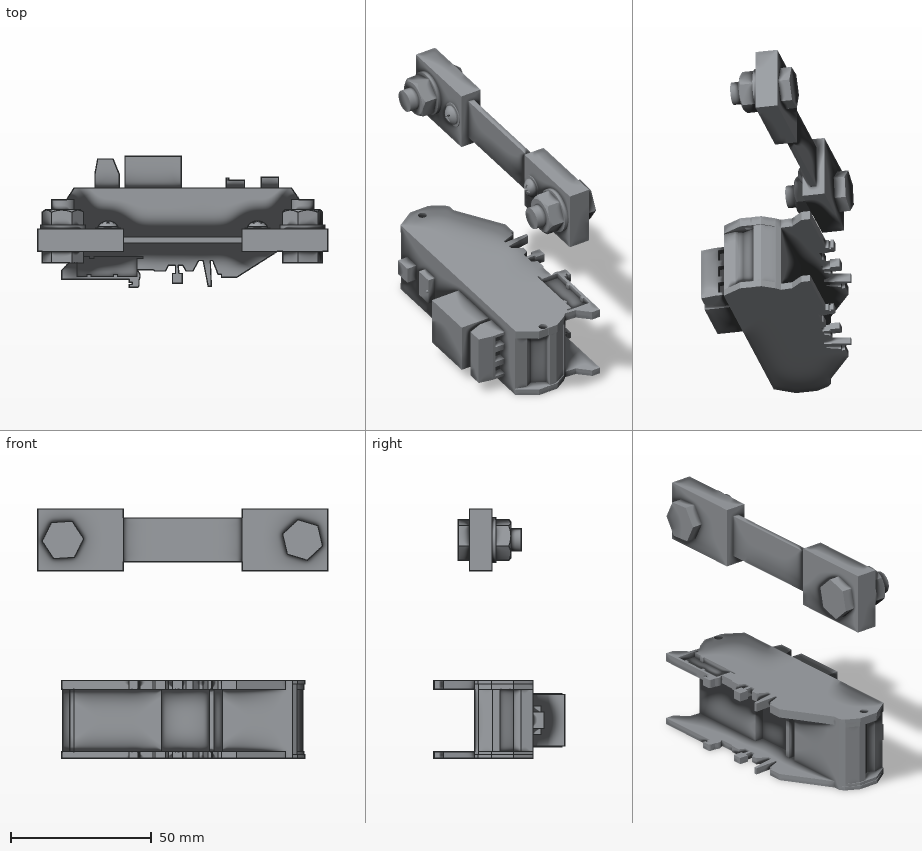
import cadquery as cq
import math


SHUNT_LENGTH = 103.0
END_BLOCK_LENGTH = 30.4
END_BLOCK_THICKNESS = 8.0
END_BLOCK_HEIGHT = 22.0
STRIP_THICKNESS = 2.1
STRIP_HEIGHT = 15.6
BACK_FACE = END_BLOCK_THICKNESS / 2

BOLT_X = 42.5
BOLT_DIAMETER = 8.0
BOLT_TIP = 14.4
HEX_ACROSS_FLATS = 12.8
HEX_ACROSS_CORNERS = HEX_ACROSS_FLATS / math.cos(math.radians(30))
HEAD_HEIGHT = 4.0
WASHER_DIAMETER = 16.0
WASHER_THICKNESS = 1.4
NUT_HEIGHT = 5.4
NUT_CHAMFER_DROP = 0.85
NUT_TOP_DIAMETER = 12.4
LEFT_BOLT_TURN = 3.5
RIGHT_BOLT_TURN = 43.0

SCREW_X = 26.5
SCREW_WASHER_DIAMETER = 8.9
SCREW_WASHER_THICKNESS = 0.35
SCREW_HEAD_DIAMETER = 7.0
SCREW_RIM_HEIGHT = 0.9
SCREW_HEAD_HEIGHT = 2.85
CROSS_WIDTH = 0.7
CROSS_LENGTH = 4.0
CROSS_DEPTH = 1.5

OVERALL_HEIGHT = 88.48
HOUSING_BOTTOM = END_BLOCK_HEIGHT / 2 - OVERALL_HEIGHT
HOUSING_HEIGHT = 27.7
HOUSING_TOP = HOUSING_BOTTOM + HOUSING_HEIGHT
TOP_PLATE_THICKNESS = 3.2
BOTTOM_PLATE_THICKNESS = 2.4
SKIN_THICKNESS = 1.35
CORE_TOP = HOUSING_TOP - TOP_PLATE_THICKNESS
CORE_BOTTOM = HOUSING_BOTTOM + BOTTOM_PLATE_THICKNESS

TERMINAL_FACE = 18.6
RAIL_FACE = -2.2
SIDE_TOP = 11.6
SIDE_BOTTOM = 3.9
SHOULDER_X = 38.5
LEFT_CORNER = (-40.1, -0.6)
LEFT_FOOT = (-38.5, RAIL_FACE)
RIGHT_CORNER = (40.7, -0.9)
RIGHT_FOOT_X = 39.0
LEFT_SIDE = -42.95
RIGHT_SIDE = 43.3
RIGHT_INNER_STEP = 0.3
SIDE_NOTCH_Y = 7.7
SIDE_NOTCH = 0.35


def box(x_range, y_range, z_range):
    size = [end - start for start, end in (x_range, y_range, z_range)]
    return cq.Workplane("XY").box(*size, centered=False).translate((x_range[0], y_range[0], z_range[0]))


def prism(points, z_start, z_end):
    """Straight extrusion along Z of an outline given in X and Y."""
    return cq.Workplane("XY").workplane(offset=z_start).polyline(points).close().extrude(z_end - z_start)


def section_along_y(y_start):
    """Sketch plane across Y whose extrusions grow towards +Y."""
    return cq.Workplane(cq.Plane((0, y_start, 0), xDir=(1, 0, 0), normal=(0, 1, 0)))


def clamping_bolt(x, turn):
    """Hex head, shank, washer and chamfered nut clamped on one end block."""
    washer_top = BACK_FACE + WASHER_THICKNESS
    head = section_along_y(-BACK_FACE - HEAD_HEIGHT).polygon(6, HEX_ACROSS_CORNERS).extrude(HEAD_HEIGHT)
    nut = section_along_y(washer_top).polygon(6, HEX_ACROSS_CORNERS).extrude(NUT_HEIGHT)
    chamfer_width = (HEX_ACROSS_CORNERS - NUT_TOP_DIAMETER) / 2
    nut_envelope = (
        section_along_y(washer_top)
        .circle(HEX_ACROSS_CORNERS / 2)
        .extrude(NUT_HEIGHT)
        .faces(">Y")
        .chamfer(NUT_CHAMFER_DROP, chamfer_width)
    )
    washer = section_along_y(BACK_FACE).circle(WASHER_DIAMETER / 2).extrude(WASHER_THICKNESS)
    shank = section_along_y(BACK_FACE).circle(BOLT_DIAMETER / 2).extrude(BOLT_TIP - BACK_FACE)
    bolt = head.union(washer).union(nut.intersect(nut_envelope)).union(shank)
    return bolt.rotate((0, 0, 0), (0, 1, 0), -turn).translate((x, 0, 0))


def sense_screw(x, turn):
    """Domed cross-recess screw on a thin washer."""
    washer = section_along_y(BACK_FACE).circle(SCREW_WASHER_DIAMETER / 2).extrude(SCREW_WASHER_THICKNESS)
    radius = SCREW_HEAD_DIAMETER / 2
    dome_rise = SCREW_HEAD_HEIGHT - SCREW_RIM_HEIGHT
    dome_radius = (radius**2 + dome_rise**2) / (2 * dome_rise)
    half_angle = math.asin(radius / dome_radius) / 2
    rim_y = BACK_FACE + SCREW_RIM_HEIGHT
    top_y = BACK_FACE + SCREW_HEAD_HEIGHT
    dome_middle = (
        dome_radius * math.sin(half_angle),
        top_y - dome_radius * (1 - math.cos(half_angle)),
    )
    head = (
        cq.Workplane("XY")
        .moveTo(0, BACK_FACE)
        .lineTo(radius, BACK_FACE)
        .lineTo(radius, rim_y)
        .threePointArc(dome_middle, (0, top_y))
        .close()
        .revolve(360, (0, 0, 0), (0, 1, 0))
    )
    recess_floor = section_along_y(top_y - CROSS_DEPTH)
    for length, width in ((CROSS_LENGTH, CROSS_WIDTH), (CROSS_WIDTH, CROSS_LENGTH)):
        blade = recess_floor.rect(length, width).extrude(CROSS_DEPTH)
        head = head.cut(blade.rotate((0, 0, 0), (0, 1, 0), turn))
    return washer.union(head).translate((x, 0, 0))


def make_shunt():
    shunt = cq.Workplane("XY").box(SHUNT_LENGTH - END_BLOCK_LENGTH, STRIP_THICKNESS, STRIP_HEIGHT)
    block_x = (SHUNT_LENGTH - END_BLOCK_LENGTH) / 2
    for side, bolt_turn, screw_turn in ((-1, LEFT_BOLT_TURN, 0), (1, RIGHT_BOLT_TURN, 45)):
        block = cq.Workplane("XY").box(END_BLOCK_LENGTH, END_BLOCK_THICKNESS, END_BLOCK_HEIGHT)
        shunt = shunt.union(block.translate((side * block_x, 0, 0)))
        shunt = shunt.union(clamping_bolt(side * BOLT_X, bolt_turn))
        shunt = shunt.union(sense_screw(side * SCREW_X, screw_turn))
    return shunt


LATCH_BOTTOM = -13.9
LATCH_LEFT = -19.05
RAIL_EDGE = -11.0
RECESS_EDGE = -8.9
TOE_BOTTOM = -13.2

RAIL_EDGE_POINTS = [
    (-38.8, -6.4),
    (LEFT_SIDE, -10.7),
    (LEFT_SIDE, LATCH_BOTTOM),
    (LATCH_LEFT, LATCH_BOTTOM),
    (LATCH_LEFT, -15.0),
    (-17.95, -15.0),
    (-17.95, -15.7),
    (LATCH_LEFT, -15.7),
    (LATCH_LEFT, -16.7),
    (-15.9, -16.7),
    (-15.5, -16.2),
    (-15.5, -14.3),
    (-15.1, -13.0),
    (-15.1, -12.1),
    (-16.1, -10.5),
    (-10.5, -10.5),
    (-9.8, RAIL_EDGE),
    (-6.1, RAIL_EDGE),
    (-5.1, RECESS_EDGE),
    (-2.65, RECESS_EDGE),
    (-2.65, -11.8),
    (-3.7, -11.8),
    (-3.7, -15.35),
    (-0.15, -15.35),
    (-0.15, -11.8),
    (-1.3, -11.8),
    (-1.6, RECESS_EDGE),
    (0.0, RECESS_EDGE),
    (1.2, RAIL_EDGE),
    (3.6, RAIL_EDGE),
    (5.7, -7.2),
    (7.2, -7.2),
    (9.0, -16.4),
    (10.2, -16.4),
    (9.8, -7.2),
    (10.6, -7.2),
    (12.5, -12.1),
    (13.7, -12.1),
    (13.7, TOE_BOTTOM),
    (19.1, TOE_BOTTOM),
    (36.4, RAIL_FACE),
]


def plate(z_start, z_end, right_step):
    """One layer of an end plate; right_step pulls in its right-hand end."""
    right = RIGHT_SIDE - right_step
    outline = [
        (SHOULDER_X, TERMINAL_FACE),
        (-SHOULDER_X, TERMINAL_FACE),
        (LEFT_SIDE, SIDE_TOP),
        (LEFT_SIDE, SIDE_BOTTOM),
        LEFT_CORNER,
        LEFT_FOOT,
        *RAIL_EDGE_POINTS,
        (RIGHT_FOOT_X - right_step / 2, RAIL_FACE),
        (RIGHT_CORNER[0] - right_step / 2, RIGHT_CORNER[1] + right_step / 2),
        (right, SIDE_BOTTOM),
        (right, SIDE_TOP),
    ]
    notch = box(
        (LEFT_SIDE, LEFT_SIDE + SIDE_NOTCH),
        (SIDE_NOTCH_Y - SIDE_NOTCH / 2, SIDE_NOTCH_Y + SIDE_NOTCH / 2),
        (z_start, z_end),
    )
    return prism(outline, z_start, z_end).cut(notch)


CORE_RECESS_FACE = 1.3
CORE_RECESS_LEFT = -7.6
CORE_RECESS_RIGHT = 14.1
RIB_LEFT = 9.4
RIB_RIGHT = 11.1
CORE_SIDE = 42.6
CORE_SIDE_TOP = 6.8
CORE_SIDE_BOTTOM = 4.1


def make_core():
    inner_corner = (RIGHT_CORNER[0] - RIGHT_INNER_STEP / 2, RIGHT_CORNER[1] + RIGHT_INNER_STEP / 2)
    right_end = [
        (RIGHT_FOOT_X - RIGHT_INNER_STEP / 2, RAIL_FACE),
        inner_corner,
        (CORE_SIDE, CORE_SIDE_BOTTOM),
        (CORE_SIDE, CORE_SIDE_TOP),
    ]
    left_end = [
        (-CORE_SIDE, CORE_SIDE_TOP),
        (-CORE_SIDE, CORE_SIDE_BOTTOM),
        (-39.95, -0.35),
        LEFT_CORNER,
        LEFT_FOOT,
    ]
    groove = [(40.2, CORE_SIDE_TOP), (37.7, 11.7), (38.35, 13.1), (39.1, 14.2), (38.0, TERMINAL_FACE)]
    left_groove = [(-x, y) for x, y in reversed(groove)]
    core = prism(right_end + groove + left_groove + left_end, CORE_BOTTOM, CORE_TOP)
    levels = (CORE_BOTTOM, CORE_TOP)
    for x_range in ((CORE_RECESS_LEFT, RIB_LEFT), (RIB_RIGHT, CORE_RECESS_RIGHT)):
        core = core.cut(box(x_range, (RAIL_FACE, CORE_RECESS_FACE), levels))
    return core


POCKET_DEPTH = 2.0
POCKET_LEFT = -37.5
POCKET_RIGHT = -16.2
POCKET_TOP = -5.75
POCKET_BOTTOM = -12.85
STOP_HEIGHT = 0.7
UPPER_STOP = (-33.0, -31.5)
LOWER_STOPS = ((-34.0, -32.6), (-24.6, -23.2))
UNDERCUT_END = -14.1
CORNER_RELIEF_RIGHT = -36.7
CORNER_RELIEF_TOP = -3.9


def latch_pocket():
    """Shallow pocket beside the release arm, with stops left standing along its edges."""
    levels = (HOUSING_TOP - POCKET_DEPTH, HOUSING_TOP)
    upper_band = (POCKET_TOP - STOP_HEIGHT, POCKET_TOP)
    lower_band = (POCKET_BOTTOM, POCKET_BOTTOM + STOP_HEIGHT)
    pocket = box((POCKET_LEFT, POCKET_RIGHT), (POCKET_BOTTOM, POCKET_TOP), levels)
    pocket = pocket.union(box((POCKET_RIGHT, UNDERCUT_END), upper_band, levels))
    pocket = pocket.union(box((POCKET_LEFT, CORNER_RELIEF_RIGHT), (POCKET_TOP, CORNER_RELIEF_TOP), levels))
    pocket = pocket.cut(box(UPPER_STOP, upper_band, levels))
    for x_range in LOWER_STOPS:
        pocket = pocket.cut(box(x_range, lower_band, levels))
    return pocket


TERMINAL_TOP = -54.5
TERMINAL_BOTTOM = -73.4
TERMINAL_LEFT = -31.2
TERMINAL_RIGHT = -22.5
TERMINAL_MIDDLE = (TERMINAL_TOP + TERMINAL_BOTTOM) / 2
WIRE_ENTRY_SPACING = 6.35
WIRE_ENTRY_WIDTH = 4.1
WIRE_ENTRY_HEIGHT = 3.9
WIRE_ENTRY_DEPTH = 3.0


def terminal_block():
    """Wedge-topped terminal with three wire entries in its left face."""
    bend = 23.4
    top = 28.8
    profile = [
        (TERMINAL_LEFT, TERMINAL_FACE),
        (TERMINAL_RIGHT, TERMINAL_FACE),
        (TERMINAL_RIGHT, bend),
        (-24.7, top),
        (-30.2, top),
        (TERMINAL_LEFT, bend),
    ]
    block = prism(profile, TERMINAL_BOTTOM, TERMINAL_TOP)
    for row in (-1, 0, 1):
        z = TERMINAL_MIDDLE + row * WIRE_ENTRY_SPACING
        entry = box(
            (TERMINAL_LEFT, TERMINAL_LEFT + WIRE_ENTRY_DEPTH),
            (TERMINAL_FACE, TERMINAL_FACE + WIRE_ENTRY_HEIGHT),
            (z - WIRE_ENTRY_WIDTH / 2, z + WIRE_ENTRY_WIDTH / 2),
        )
        block = block.cut(entry)
    return block


RELAY_X = (-20.5, -0.5)
RELAY_TOP = 29.83
RELAY_WIDTH = 18.3
TRIMMER_X = (15.4, 21.9)
TRIMMER_TOP = 21.3
TRIMMER_WIDTH = 10.0
ADJUSTER_DIAMETER = 1.0
ADJUSTER_X = TRIMMER_X[0] + ADJUSTER_DIAMETER / 2
ADJUSTER_HEIGHT = 0.8
BUTTON_X = (27.8, 34.0)
BUTTON_TOP = 22.4
BUTTON_WIDTH = 6.0


def terminal_side_box(x_range, top, width):
    """Block on the terminal face, centred on the terminal along Z."""
    z_range = (TERMINAL_MIDDLE - width / 2, TERMINAL_MIDDLE + width / 2)
    return box(x_range, (TERMINAL_FACE, top), z_range)


def trimmer_adjuster():
    pin = section_along_y(TRIMMER_TOP).circle(ADJUSTER_DIAMETER / 2).extrude(ADJUSTER_HEIGHT)
    return pin.translate((ADJUSTER_X, 0, TERMINAL_MIDDLE))


def terminal_side_parts():
    """Relay box, trimmer with its adjuster, and button."""
    relay = terminal_side_box(RELAY_X, RELAY_TOP, RELAY_WIDTH)
    trimmer = terminal_side_box(TRIMMER_X, TRIMMER_TOP, TRIMMER_WIDTH)
    button = terminal_side_box(BUTTON_X, BUTTON_TOP, BUTTON_WIDTH)
    return relay.union(trimmer).union(trimmer_adjuster()).union(button)


PLATE_HOLE_DIAMETER = 3.1
PLATE_HOLE_Y = 8.8
PLATE_HOLE_XS = (-41.2, 39.5)


def make_housing():
    housing = make_core()
    skin_bottom = HOUSING_BOTTOM + SKIN_THICKNESS
    skin_top = HOUSING_TOP - SKIN_THICKNESS
    housing = housing.union(plate(skin_top, HOUSING_TOP, 0))
    housing = housing.union(plate(CORE_TOP, skin_top, RIGHT_INNER_STEP))
    housing = housing.union(plate(skin_bottom, CORE_BOTTOM, RIGHT_INNER_STEP))
    housing = housing.union(plate(HOUSING_BOTTOM, skin_bottom, 0))
    housing = housing.cut(latch_pocket())
    holes = (
        cq.Workplane("XY")
        .workplane(offset=CORE_TOP)
        .pushPoints([(x, PLATE_HOLE_Y) for x in PLATE_HOLE_XS])
        .circle(PLATE_HOLE_DIAMETER / 2)
        .extrude(TOP_PLATE_THICKNESS)
    )
    return housing.cut(holes).union(terminal_block()).union(terminal_side_parts())


shunt = make_shunt()
housing = make_housing()
result = cq.Compound.makeCompound([shunt.val(), housing.val()])